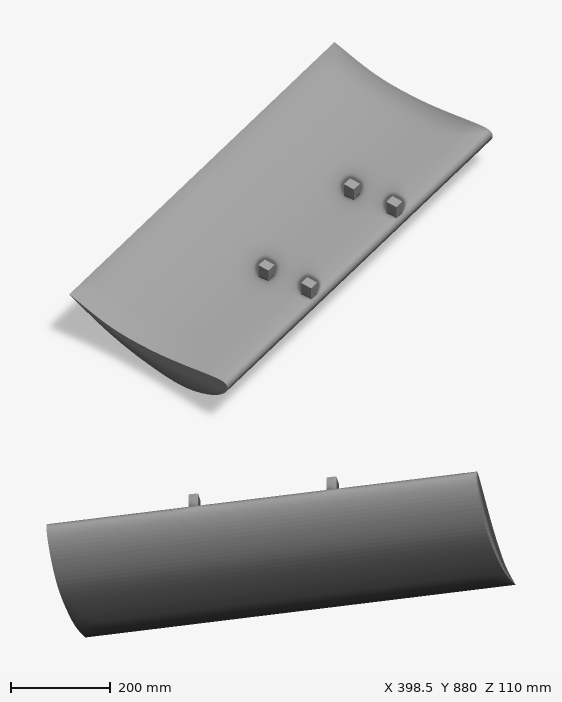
import math

import cadquery as cq


chord = 398.52
span = 880.0
belly_depth = 86.5

trailing_edge = (0.0, 0.0)
nose_tip = (chord, -21.0)
hollow = (165.0, -33.2)
belly = (276.0, -belly_depth)
upper_tail_points = [(50.0, -15.5), (100.0, -28.0)]
upper_nose_points = [(394.0, -11.0), (380.0, -8.2), (340.0, -13.3), (280.0, -23.7), (220.0, -31.1)]
lower_tail_points = [(40.0, -20.9), (80.0, -40.0), (140.0, -62.5), (200.0, -77.3)]
lower_nose_points = [(385.0, -46.0), (340.0, -73.8)]

towards_nose = (1.0, 0.0)
towards_tail = (-1.0, 0.0)
straight_up = (0.0, 1.0)
straight_down = (0.0, -1.0)
upper_tail_slope = (1.0, -0.28)
lower_tail_slope = (1.0, -0.54)

upper_tail_strips = 21
upper_nose_strips = 32
lower_tail_strips = 30
lower_nose_strips = 20

overall_height = 110.05
post_length = 25.0
post_width = 20.0
post_spacing = 283.0
front_post_x = 377.6
rear_post_x = 270.4
front_post_top = overall_height - belly_depth
post_top_step = 16.3
rear_post_top = front_post_top - post_top_step


def strip_corners(points, tangents, strips):
    """Corners of flat strips along a curve, closest together at its start."""
    curve = cq.Edge.makeSpline(
        [cq.Vector(*point) for point in points],
        tangents=[cq.Vector(*tangent).normalized() for tangent in tangents],
        scale=False,
    )
    shares = [1 - math.cos(math.pi / 2 * i / strips) for i in range(strips + 1)]
    return [(corner.x, corner.y) for corner in curve.positions(shares)]


def make_wing():
    upper_tail = strip_corners(
        [trailing_edge, *upper_tail_points, hollow], [upper_tail_slope, towards_nose], upper_tail_strips
    )
    upper_nose = strip_corners(
        [nose_tip, *upper_nose_points, hollow], [straight_up, towards_tail], upper_nose_strips
    )
    lower_nose = strip_corners(
        [nose_tip, *lower_nose_points, belly], [straight_down, towards_tail], lower_nose_strips
    )
    lower_tail = strip_corners(
        [trailing_edge, *lower_tail_points, belly], [lower_tail_slope, towards_nose], lower_tail_strips
    )

    upper_side = upper_tail[:-1] + upper_nose[::-1]
    lower_side = lower_nose[1:-1] + lower_tail[:0:-1]
    return (
        cq.Workplane("XZ", origin=(0, span / 2, 0))
        .polyline(upper_side + lower_side)
        .close()
        .extrude(span)
    )


def make_post(x, y, top, wing):
    """A post whose foot is shaped to the wing surface it stands on."""
    block_height = top - hollow[1]
    block = (
        cq.Workplane("XY", origin=(x, y, top))
        .rect(post_length, post_width)
        .extrude(-block_height)
    )
    return block.cut(wing)


wing = make_wing()

posts = []
for x, top in [(front_post_x, front_post_top), (rear_post_x, rear_post_top)]:
    for y in [-post_spacing / 2, post_spacing / 2]:
        post = make_post(x, y, top, wing)
        posts.append(post.val())

result = cq.Compound.makeCompound([wing.val(), *posts])